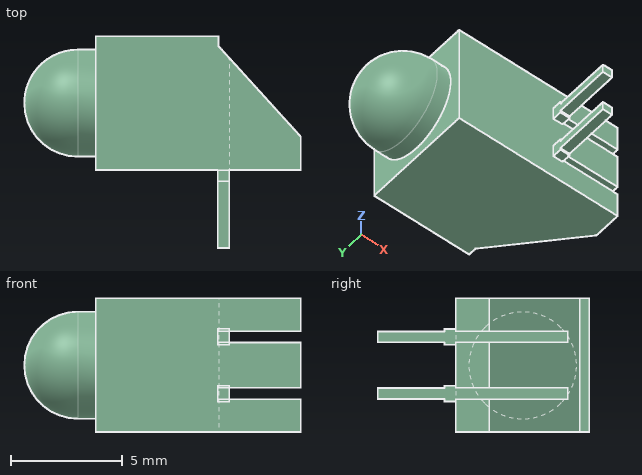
import cadquery as cq
import math

total_length = 12.4
body_side = 6.0
total_depth = 9.5

lens_radius = 2.4
lens_collar_length = 0.79

step_x = 8.72
step_depth = 0.45
end_face_depth = 1.5

lead_width = 0.53
lead_height = 0.5
lead_pitch = 2.54
lead_start_x = 8.67
shoulder_length = 0.5
shoulder_height = 0.72

body_start_x = lens_radius + lens_collar_length
lead_length = total_depth - body_side
lead_end_x = lead_start_x + lead_width
lead_levels = (-lead_pitch / 2, lead_pitch / 2)


def block(x_range, y_range, height, z_center):
    """Box spanning the given X and Y ranges, centred on z_center."""
    length = x_range[1] - x_range[0]
    depth = y_range[1] - y_range[0]
    return (
        cq.Workplane("XY")
        .box(length, depth, height, centered=(False, False, True))
        .translate((x_range[0], y_range[0], z_center))
    )


def housing():
    """Square block with a stepped, sloping back corner."""
    return (
        cq.Workplane("XY")
        .moveTo(body_start_x, 0)
        .lineTo(total_length, 0)
        .lineTo(total_length, end_face_depth)
        .lineTo(step_x, body_side - step_depth)
        .lineTo(step_x, body_side)
        .lineTo(body_start_x, body_side)
        .close()
        .extrude(body_side / 2, both=True)
    )


def lens():
    """Hemisphere on a short cylinder, revolved about the lens axis."""
    dome_mid = lens_radius * math.sin(math.pi / 4)
    return (
        cq.Workplane("XY")
        .moveTo(0, 0)
        .threePointArc((lens_radius - dome_mid, dome_mid), (lens_radius, lens_radius))
        .lineTo(body_start_x, lens_radius)
        .lineTo(body_start_x, 0)
        .close()
        .revolve(360, (0, 0), (1, 0))
        .translate((0, body_side / 2, 0))
    )


def lead(z_center):
    """Straight lead with a taller shoulder against the housing."""
    x_range = (lead_start_x, lead_end_x)
    pin = block(x_range, (-lead_length, 0), lead_height, z_center)
    shoulder = block(x_range, (-shoulder_length, 0), shoulder_height, z_center)
    return pin.union(shoulder)


def lead_slot(z_center):
    """Slot through the full depth, from behind the lead to the far end."""
    return block((lead_end_x, total_length), (0, body_side), lead_height, z_center)


result = housing().union(lens())
for level in lead_levels:
    result = result.cut(lead_slot(level)).union(lead(level))